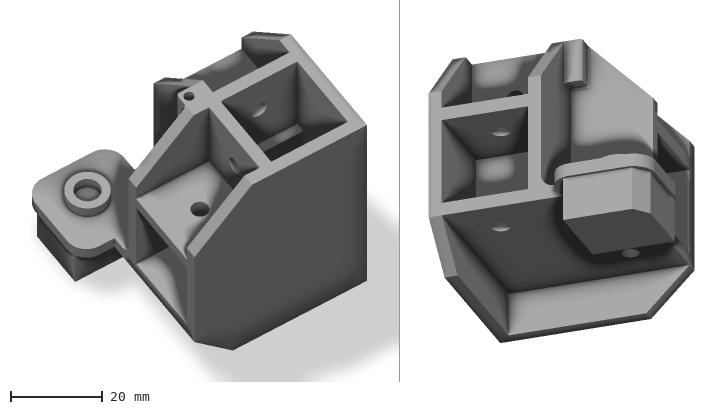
import cadquery as cq


body_size = 45.0
wall = 3.0
bore = 19.95
socket_size = bore + 2 * wall
bore_far = wall + bore
bore_center = wall + bore / 2
slope_size = 15.0
slope_start = body_size - slope_size
corner_fillet = 3.0

plate_thickness = 3.0
plate_intrusion = 2.4

screw_diameter = 4.1
screw_from_edge = 10.0
screw_center = body_size - screw_from_edge

post_height = 10.0
post_chamfer = 0.5
post_flare = 0.5
pilot_diameter = 2.4
pilot_depth = 9.0
pilot_center = 27.95

pad_overhang = 9.0
pad_far = body_size + pad_overhang
pad_length_x = 22.45
pad_length_y = 23.05
pad_radius = 5.0
boss_from_pad_edge = 10.1
boss_center = pad_far - boss_from_pad_edge
boss_diameter = 10.1
boss_height = 3.0
boss_hole_diameter = 6.15
boss_hole_depth = 3.0

drop = 10.0
foot_inset = 0.8
foot_far = pad_far - foot_inset
foot_length_x = 18.5
foot_length_y = 19.0
foot_chamfer_x = 3.5
foot_chamfer_y = 2.95


def block(x_span, y_span, z_span):
    """Box between two distances from the origin: toward -X, toward -Y and along Z."""
    (x0, x1), (y0, y1), (z0, z1) = x_span, y_span, z_span
    return cq.Workplane("XY").box(x1 - x0, y1 - y0, z1 - z0, centered=False).translate((-x1, -y1, z0))


def rod(diameter, x, y, z_low, z_high):
    """Vertical cylinder at distances x and y from the origin."""
    return cq.Workplane("XY", origin=(-x, -y, z_low)).circle(diameter / 2).extrude(z_high - z_low)


def swap_xy(shape):
    """Mirror a shape across the plane X = Y, which swaps its X and Y."""
    return shape.mirror("XY").rotate((0, 0, 0), (1, 1, 0), 180)


def make_body():
    full = (0, body_size)
    shell = block(full, full, full)
    inner_bore = (wall, bore_far)
    full_bore = (wall, body_size)
    outside = (socket_size, body_size)

    recess = block(outside, outside, (wall, body_size))
    recess = recess.edges("<Z and (>X or >Y)").fillet(corner_fillet)
    shell = shell.cut(recess)

    bay = block(outside, inner_bore, (socket_size, body_size))
    shell = shell.cut(bay).cut(swap_xy(bay))

    shell = shell.cut(block(inner_bore, full_bore, inner_bore))
    shell = shell.cut(block(inner_bore, inner_bore, full_bore))
    plate_face = bore_far - plate_intrusion
    shell = shell.union(block((plate_face, socket_size), inner_bore, inner_bore))
    return shell.cut(block((plate_face + plate_thickness, body_size), inner_bore, inner_bore))


def make_post():
    depth = slope_start - socket_size
    base = body_size - post_height
    reach = (bore_far, slope_start)
    post = block(reach, reach, (base, body_size)).edges("|Z and <X and <Y").chamfer(post_chamfer)

    width = depth + post_flare + wall
    height = post_height + 2 * post_flare + wall
    flare = (
        cq.Workplane("XZ", origin=(-slope_start - post_flare + width / 2, -socket_size,
                                   base - post_flare + height / 2))
        .rect(width, height)
        .extrude(post_flare, taper=45)
    )
    flare = flare.intersect(block((socket_size, body_size), (socket_size, body_size), (0, body_size)))
    return post.union(flare).union(swap_xy(flare))


def slope_cutter():
    """Wedge that bevels the upper -X ends of the walls."""
    return (
        cq.Workplane("XZ")
        .polyline([(-slope_start, body_size), (-body_size, slope_start), (-body_size, body_size)])
        .close()
        .extrude(body_size)
    )


def screw_cutter():
    """Holes of the X arm: down through both floors and sideways into the Z socket."""
    down = rod(screw_diameter, screw_center, bore_center, 0, body_size)
    sideways = (
        cq.Workplane("YZ", origin=(-body_size, -bore_center, screw_center))
        .circle(screw_diameter / 2)
        .extrude(body_size - bore_center)
    )
    return down.union(sideways)


def make_pad():
    pad = block((pad_far - pad_length_x, pad_far), (pad_far - pad_length_y, pad_far), (0, wall))
    pad = pad.edges("|Z and (<X or <Y)").fillet(pad_radius)
    return pad.union(rod(boss_diameter, boss_center, boss_center, wall, wall + boss_height))


def make_foot():
    foot = block((foot_far - foot_length_x, foot_far), (foot_far - foot_length_y, foot_far), (-drop, 0))
    corner = (
        cq.Workplane("XY", origin=(-foot_far, -foot_far, -drop))
        .polyline([(0, 0), (foot_chamfer_x, 0), (0, foot_chamfer_y)])
        .close()
        .extrude(drop)
    )
    return foot.cut(corner)


def make_skirt():
    """Lip below the +Y wall, with its free end sloping inward at 45 degrees from the body's edge."""
    return (
        cq.Workplane("XZ")
        .polyline([(0, 0), (-body_size, 0), (drop - body_size, -drop), (0, -drop)])
        .close()
        .extrude(wall)
    )


def make_pilot():
    """Blind pilot hole in the post, ending in a drill cone."""
    bore_part = rod(pilot_diameter, pilot_center, pilot_center, body_size - pilot_depth, body_size)
    cone = cq.Solid.makeCone(
        pilot_diameter / 2,
        0,
        pilot_diameter / 2,
        pnt=cq.Vector(-pilot_center, -pilot_center, body_size - pilot_depth),
        dir=cq.Vector(0, 0, -1),
    )
    return bore_part.union(cq.Workplane(cone))


slopes = slope_cutter().union(swap_xy(slope_cutter()))
screws = screw_cutter().union(swap_xy(screw_cutter()))
boss_top = wall + boss_height
boss_hole = rod(boss_hole_diameter, boss_center, boss_center, boss_top - boss_hole_depth, boss_top)

bracket = make_body().union(make_post()).cut(slopes)
bracket = bracket.union(make_skirt()).union(swap_xy(make_skirt()))
bracket = bracket.cut(screws).cut(make_pilot())
result = bracket.union(make_pad()).union(make_foot()).cut(boss_hole)